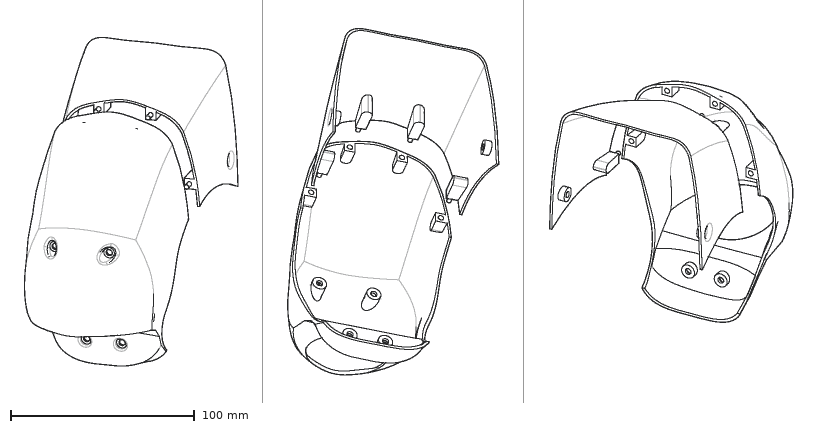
import cadquery as cq

wall = 1.3
core_depth = 1.0
half_width = 43.2
mask_height = 144.3
joint_gap = 19.9
hood_length = 54.7
tool_reach = 126.1

pin_diameter = 2.5
pin_length = 5.2
socket_diameter = 3.0
socket_depth = 6.3
pad_width = 6.0
hood_pad_length = 14.5
mask_pad_length = 10.4
upper_pin_x, upper_pin_z = 14.8, 137.3
lower_pin_x, lower_pin_z = 36.9, 99.6

screw_diameter = 3.5
head_diameter = 6.0
screw_boss_diameter = 8.0
seat_thickness = 1.5
screw_reach = 18.9
rim_radius = 2.0
chin_rim_radius = 1.0

hood_screw_y, hood_screw_z, hood_screw_seat = 65.3, 98.0, 42.5
nose_screw_x, nose_screw_z, nose_screw_seat = 15.5, 84.7, -56.5
chin_screw_x, chin_screw_z, chin_screw_seat = 10.1, 17.3, -16.9

opening_diameter = 45.0
opening_y = -54.5
opening_bottom, opening_top = 15.8, 45.7

edge_height = 87.0
mask_edge = [(0, edge_height), (-15.8, 72.5), (-21.8, 50.5), (-16.1, 26.8), (0, 9.5)]
hood_rear_y = joint_gap + hood_length
hood_edge = [(joint_gap, edge_height), (37.8, 90.7), (55.8, 87.7), (hood_rear_y, 79.6)]

joint_seam = (33.6, 129.5)
joint_arch = [(0, mask_height), (14.8, 141.5), (27.3, 136.5), joint_seam]
joint_side = [joint_seam, (39.1, 112), (42.4, 92.1), (half_width, 75.7)]


def section(points, y):
    """(X, Z) points placed in the plane at this Y."""
    return [(x, y, z) for x, z in points]


def mirrored(points):
    """The same points on the -X side."""
    return [(-x, y, z) for x, y, z in points]


def across(half):
    """Points from the -X end to the +X end; `half` starts on the plane X = 0."""
    return mirrored(half[:0:-1]) + half


def vectors(points):
    return [cq.Vector(*point) for point in points]


def spline(points):
    return cq.Edge.makeSpline(vectors(points))


def cylinder(diameter, start, direction, length):
    return cq.Workplane(cq.Solid.makeCylinder(diameter / 2, length, cq.Vector(*start), cq.Vector(*direction)))


def side_cutter(outline):
    """Prism along X through both sides, from a closed outline in the YZ plane."""
    return outline.close().extrude(tool_reach / 2, both=True)


def mask_form(inset):
    """Closed form of the mask, moved inwards by `inset`."""
    turn_height = 47.3

    def inner(points):
        moved = []
        for x, y, z in points:
            rise = min(1, 1 - 2 * (z - turn_height) / (mask_height - turn_height))
            moved.append((x * (1 - inset / half_width), y + inset, z + inset * rise))
        return moved

    seam_start = section([joint_seam], 0)[0]
    nose_corner = (27.7, -47.3, 90.2)
    lip_end = (34.7, -40.2, 36.0)
    crease_end = (32.5, -26.6, 30.7)
    throat_end = (31.8, -18.1, 24.0)
    chin_end = (30.9, -11.8, 16.5)
    foot = (30, 0, 8.4)

    arch = across(section(joint_arch, 0))
    brow = across([(0, -59.9, 97.8), (11.8, -57.2, 96.2), nose_corner])
    lip = across([(0, -77.1, 41.6), (13.4, -72.5, 41.3), (25.2, -61.5, 39.7), lip_end])
    crease = across([(0, -27.5, 30), (22, -27.1, 30.3), crease_end])
    throat = across([(0, -20.8, 26.2), (18.9, -20.5, 25.7), throat_end])
    chin = across([(0, -18.3, 3.8), (11, -18.1, 4.3), (21.3, -16.2, 6.8), chin_end])
    base = across([(0, 0, 0), (12.6, 0, 0.2), (23.7, 0, 2.8), foot])

    seam = [seam_start, (31.5, -16.1, 119.0), (29.5, -31.5, 104.5), nose_corner]
    cheek = [nose_corner, (32.2, -45.7, 80.4), (35.6, -44.5, 69.4), (36.9, -44.0, 57.5), (36.0, -43.7, 42.5), lip_end]
    joint_edge = section(joint_side, 0) + [(42.0, 0, 63), (37.8, 0, 34.7), foot]

    crown_points = [(0, -18.3, 135.3), (0, -39.4, 116.7)]
    nose_points = [(0, -68.1, 87.7)]
    nose_points += across([(0, -76.5, 72.0), (18.1, -70.2, 69.4), (27.1, -59.9, 69.4)])
    nose_points += across([(0, -80.9, 59.1), (14.8, -76.8, 57.5), (27.3, -65.5, 57.5)])
    nose_points += across([(0, -81.4, 48.9), (14.8, -76.2, 48.2), (27.3, -64.3, 46.7)])
    side_points = [(38.3, -15.8, 102.5), (41.3, -18.9, 75.7), (39.4, -31.5, 69.4), (38.3, -26.8, 53.6), (35.6, -25.2, 42.5)]

    def smooth_face(edges, points):
        return cq.Face.makeNSidedSurface(edges, vectors(inner(points)))

    arch_edge, brow_edge = spline(inner(arch)), spline(inner(brow))
    lower_edges = [spline(inner(curve)) for curve in (lip, crease, throat, chin, base)]
    lower_ends = [lip_end, crease_end, throat_end, chin_end, foot]

    faces = [cq.Face.makeRuledSurface(a, b) for a, b in zip(lower_edges, lower_edges[1:])]
    seam_edges, cheek_edges, joint_edges = [], [], []
    for side in (list, mirrored):
        seam_edge, cheek_edge, rear_edge = [spline(inner(side(c))) for c in (seam, cheek, joint_edge)]
        ends = vectors(inner(side(lower_ends)))
        jaw_edges = [cq.Edge.makeLine(a, b) for a, b in zip(ends, ends[1:])]
        faces.append(smooth_face([seam_edge, rear_edge, cheek_edge] + jaw_edges, side(side_points)))
        seam_edges.append(seam_edge)
        cheek_edges.append(cheek_edge)
        joint_edges.append(rear_edge)
    faces.append(smooth_face([arch_edge, brow_edge] + seam_edges, crown_points))
    faces.append(smooth_face([brow_edge, lower_edges[0]] + cheek_edges, nose_points))
    rear_outline = cq.Wire.assembleEdges([arch_edge, joint_edges[0], lower_edges[-1], joint_edges[1]])
    faces.append(cq.Face.makeFromWires(rear_outline))
    return cq.Workplane(cq.Solid.makeSolid(cq.Shell.makeShell(faces)))


def hood_form(inset):
    """Solid form of the hood, from end to end, with its sides and top moved inwards by `inset`."""
    middle_y = joint_gap + 18.3
    bottom = 75.7
    middle_arch = [(0, 150.1), (17.3, 149.2), (29.2, 145.5), (36.3, 137.8)]
    middle_side = [(36.3, 137.8), (41.3, 118.3), (43.8, 97.8), (45.0, bottom)]
    rear_arch = [(0, 157.7), (20.5, 157.4), (35.0, 156.1), (40.2, 149.3)]
    rear_side = [(40.2, 149.3), (43.7, 130.0), (46.0, 107.7), (47.3, bottom)]

    def outline(arch, side, y):
        def inner(points):
            return [(x * (1 - inset / half_width), y, z - inset) for x, y, z in points]

        right = section(side, y)
        left = mirrored(right)
        floor = cq.Edge.makeLine(*vectors(inner([right[-1], left[-1]])))
        curves = [across(section(arch, y)), right, left[::-1]]
        top, right_edge, left_edge = [spline(inner(curve)) for curve in curves]
        return cq.Wire.assembleEdges([top, right_edge, floor, left_edge])

    return cq.Workplane(cq.Solid.makeLoft([
        outline(joint_arch, joint_side, joint_gap),
        outline(middle_arch, middle_side, middle_y),
        outline(rear_arch, rear_side, hood_rear_y),
    ]))


pin_places = [
    (side * x, z)
    for side in (1, -1)
    for x, z in ((upper_pin_x, upper_pin_z), (lower_pin_x, lower_pin_z))
]


def pin_pads(core, start_y, length, free_end):
    """Round-ended pads behind the pins or sockets, grown outwards into the skin around `core`."""
    reach = 12.6
    end_radius = 2.8
    shift = (reach - pad_width) / 2
    middle_y = start_y + length / 2
    upright = cq.Workplane().box(pad_width, length, reach).edges("|Z").edges(free_end).fillet(end_radius)
    level = cq.Workplane().box(reach, length, pad_width).edges("|X").edges(free_end).fillet(end_radius)
    pads = []
    for side in (1, -1):
        pads.append(upright.translate((side * upper_pin_x, middle_y, upper_pin_z + shift)))
        pads.append(level.translate((side * (lower_pin_x + shift), middle_y, lower_pin_z)))
    return [pad.intersect(core) for pad in pads]


def boss_start(seat, outward):
    """Centre of the inner end of a screw boss; `seat` is the centre of its counterbore floor."""
    return [s - seat_thickness * o for s, o in zip(seat, outward)]


def screw_boss(core, seat, outward):
    boss = cylinder(screw_boss_diameter, boss_start(seat, outward), outward, screw_reach)
    return boss.intersect(core)


def screw_cutters(seat, outward):
    return [
        cylinder(screw_diameter, boss_start(seat, outward), outward, screw_reach),
        cylinder(head_diameter, seat, outward, screw_reach),
    ]


def round_rim(body, seat, outward, radius):
    """Round the edge where a counterbore meets the outer surface."""
    above_seat, clearance = 0.5, 0.2
    half_box = head_diameter / 2 + clearance
    near = [s + above_seat * o - half_box * (1 - abs(o)) for s, o in zip(seat, outward)]
    far = [s + screw_reach * o + half_box * (1 - abs(o)) for s, o in zip(seat, outward)]
    rim = cq.selectors.BoxSelector(near, far, boundingbox=True)
    return body.edges(rim).fillet(radius)


def joined(body, parts):
    """One solid from `body` and all of `parts`."""
    return cq.Workplane(body.val().fuse(*[part.val() for part in parts]))


def trimmed(body, cutters):
    """`body` without any of `cutters`."""
    return cq.Workplane(body.val().cut(*[cutter.val() for cutter in cutters]).Solids()[0])


def mask_opening():
    return cylinder(opening_diameter, (0, opening_y, opening_bottom), (0, 0, 1), opening_top - opening_bottom)


def make_mask():
    front = (0, -1, 0)
    nose_seats = [(side * nose_screw_x, nose_screw_seat, nose_screw_z) for side in (1, -1)]
    chin_seats = [(side * chin_screw_x, chin_screw_seat, chin_screw_z) for side in (1, -1)]
    seats = nose_seats + chin_seats

    core = mask_form(core_depth)
    wheel_side = cq.Workplane("YZ").spline(mask_edge)
    skin = trimmed(mask_form(0), [mask_form(wall), side_cutter(wheel_side)])

    pads = pin_pads(core, -mask_pad_length, mask_pad_length, "<Y")
    body = joined(skin, pads + [screw_boss(core, seat, front) for seat in seats])

    cutters = [cylinder(socket_diameter, (x, 0, z), front, socket_depth) for x, z in pin_places]
    for seat in seats:
        cutters += screw_cutters(seat, front)
    body = trimmed(body, cutters + [mask_opening()])

    for seat in nose_seats:
        body = round_rim(body, seat, front, rim_radius)
    for seat in chin_seats:
        body = round_rim(body, seat, front, chin_rim_radius)
    return body


def make_hood():
    below, behind = 63.0, hood_rear_y + 1.5
    seats = [((side * hood_screw_seat, hood_screw_y, hood_screw_z), (side, 0, 0)) for side in (1, -1)]

    core = hood_form(core_depth)
    lower_part = (
        cq.Workplane("YZ")
        .spline(hood_edge)
        .lineTo(behind, hood_edge[-1][1])
        .lineTo(behind, below)
        .lineTo(joint_gap, below)
    )
    skin = trimmed(hood_form(0), [hood_form(wall), side_cutter(lower_part)])

    pin_tip, pin_full_length = joint_gap - pin_length, 2 * pin_length
    pins = [cylinder(pin_diameter, (x, pin_tip, z), (0, 1, 0), pin_full_length) for x, z in pin_places]
    pads = pin_pads(core, joint_gap, hood_pad_length, ">Y")
    body = joined(skin, pins + pads + [screw_boss(core, *seat) for seat in seats])

    body = trimmed(body, [cutter for seat in seats for cutter in screw_cutters(*seat)])
    for seat, outward in seats:
        body = round_rim(body, seat, outward, rim_radius)
    return body


mask = make_mask()
hood = make_hood()
result = cq.Compound.makeCompound([mask.solids().val(), hood.solids().val()])